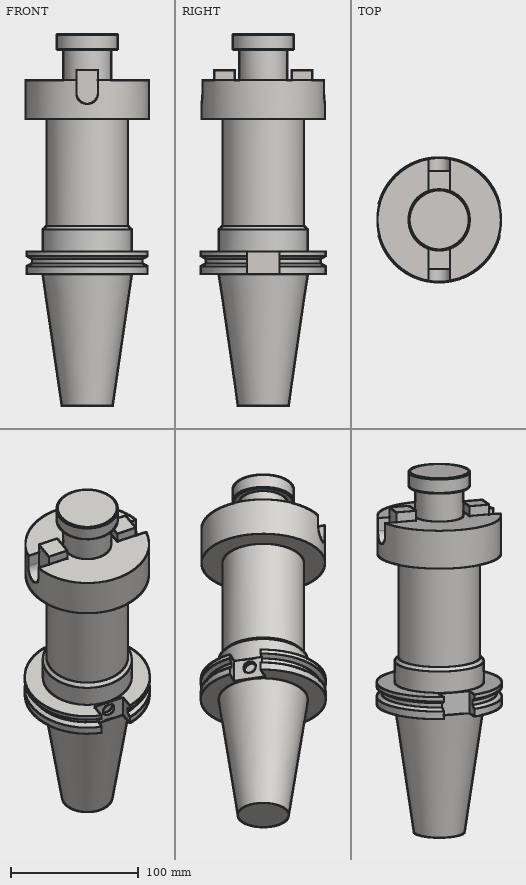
import cadquery as cq
import math

gauge_z = 102.0
flange_bottom = 102.8
flange_top = 120.5
shoulder_z = 140.5
head_bottom = 224.0
head_top = 254.5
key_top = 262.3
screw_top = 290.5

taper_ratio = 7 / 24
gauge_radius = 35.0
taper_end_radius = gauge_radius - gauge_z * taper_ratio / 2
neck_radius = gauge_radius
shank_radius = 32.0
shoulder_chamfer = neck_radius - shank_radius
head_diameter = 96.7
head_radius = head_diameter / 2

flange_diameter = 98.0
flange_radius = flange_diameter / 2
groove_radius = 45.0
groove_floor_bottom = 111.3
groove_floor_top = 114.8
groove_flank_height = (flange_radius - groove_radius) * math.tan(math.radians(30))
drive_slot_width = 25.3
drive_slot_floor = 35.7
pilot_hole_diameter = 10.0
pilot_hole_depth = 3.5
pilot_hole_z = 113.0

key_width = 16.9
key_inner = 22.0
key_outer = 38.3
key_bottom = 236.0
key_arc_z = key_bottom + key_width / 2

stem_radius = 19.0
cap_diameter = 48.0
cap_radius = cap_diameter / 2
cap_height = 12.5
cap_chamfer = 1.0


def key_profile_solid(y_start, y_end, top):
    """Upright bar with a half-round bottom, running from y_start to y_end along Y."""
    half_width = key_width / 2
    return (
        cq.Workplane("XZ", origin=(0, y_start, 0))
        .moveTo(-half_width, top)
        .lineTo(-half_width, key_arc_z)
        .threePointArc((0, key_bottom), (half_width, key_arc_z))
        .lineTo(half_width, top)
        .close()
        .extrude(y_start - y_end)
    )


def make_holder_blank():
    """Turned shape of the taper, flange, shank and head."""
    return (
        cq.Workplane("XZ")
        .polyline([
            (0, 0),
            (taper_end_radius, 0),
            (gauge_radius, gauge_z),
            (gauge_radius, flange_bottom),
            (flange_radius, flange_bottom),
            (flange_radius, groove_floor_bottom - groove_flank_height),
            (groove_radius, groove_floor_bottom),
            (groove_radius, groove_floor_top),
            (flange_radius, groove_floor_top + groove_flank_height),
            (flange_radius, flange_top),
            (neck_radius, flange_top),
            (neck_radius, shoulder_z - shoulder_chamfer),
            (shank_radius, shoulder_z),
            (shank_radius, head_bottom),
            (head_radius, head_bottom),
            (head_radius, head_top),
            (0, head_top),
        ])
        .close()
        .revolve(360, (0, 0), (0, 1))
    )


def make_drive_slot():
    """Cutter for the flange slot on the -X side."""
    slot_depth = flange_radius - drive_slot_floor
    return (
        cq.Workplane("XY", origin=(-drive_slot_floor - slot_depth / 2, 0, flange_bottom))
        .rect(slot_depth, drive_slot_width)
        .extrude(flange_top - flange_bottom)
    )


def make_pilot_hole():
    """Cutter for the blind hole in the floor of the -X flange slot."""
    return (
        cq.Workplane("YZ", origin=(-drive_slot_floor, 0, 0))
        .center(0, pilot_hole_z)
        .circle(pilot_hole_diameter / 2)
        .extrude(pilot_hole_depth)
    )


def make_holder():
    holder = make_holder_blank()
    key_slot = key_profile_solid(key_inner, head_radius, head_top)
    for angle in (0, 180):
        holder = holder.cut(make_drive_slot().rotate((0, 0, 0), (0, 0, 1), angle))
        holder = holder.cut(key_slot.rotate((0, 0, 0), (0, 0, 1), angle))
    return holder.cut(make_pilot_hole())


def make_key(angle):
    """Driving key, turned about the tool axis into its slot."""
    return key_profile_solid(key_inner, key_outer, key_top).rotate((0, 0, 0), (0, 0, 1), angle)


def make_screw():
    """Stem seated on the head face, with a chamfered cap."""
    stem = cq.Workplane("XY", origin=(0, 0, head_top)).circle(stem_radius).extrude(screw_top - head_top)
    cap = (
        cq.Workplane("XY", origin=(0, 0, screw_top - cap_height))
        .circle(cap_radius)
        .extrude(cap_height)
        .edges()
        .chamfer(cap_chamfer)
    )
    return stem.union(cap)


holder = make_holder()
screw = make_screw()
keys = [make_key(angle).val() for angle in (0, 180)]

result = cq.Compound.makeCompound([holder.val(), screw.val(), *keys])